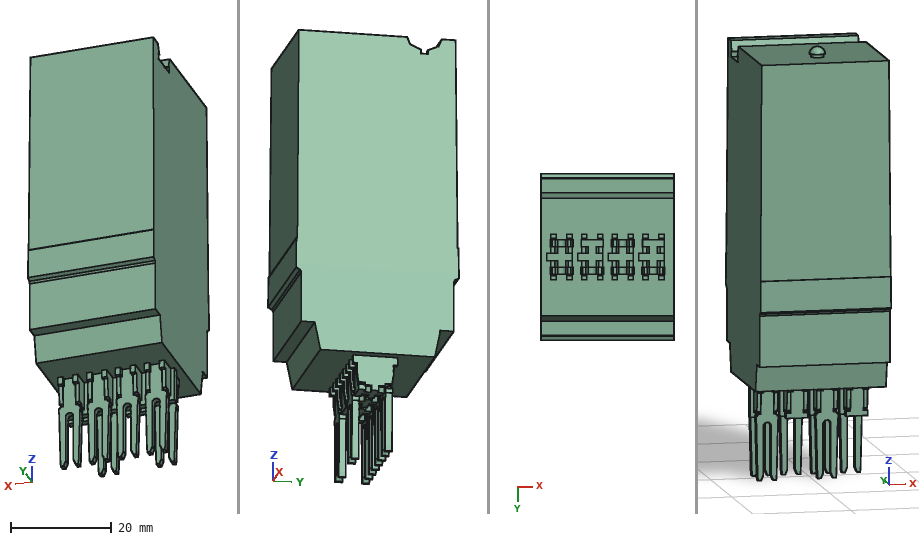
import cadquery as cq
import math

TOTAL_HEIGHT = 88.4
LID_Z = 86.4
BAND_Z = 42.7
SEAM_Z = 37.1
LIP_Z = 36.4
BASE_Z = 35.5
SHELF_Z = 25.2
SKIRT_Z = 19.5

LID_HALF_Y = 16.0
TAPER_HALF_Y = 16.35
STEP_HALF_Y = 16.5
BAND_HALF_Y = 16.6
LIP_HALF_Y = 15.8
BASE_HALF_Y = 15.6
SHELF_HALF_Y = 12.8
SKIRT_HALF_Y = 11.7
LID_HALF_X = 13.0
BODY_WIDTH_X = 26.6
BODY_HALF_X = BODY_WIDTH_X / 2
LIP_ROUND_Z = 36.0

GROOVE_CENTER_Y = 9.6
GROOVE_TOP_HALF = 3.5
GROOVE_TIP_HALF = 2.65
GROOVE_WALL_HALF = 3.1
GROOVE_TIP_Z = 84.25
GROOVE_FLOOR_Z = 83.1

STOP_LENGTH = 1.1
STOP_GAP_HALF = 0.7
STOP_TOP_Z = 84.95
STOP_EDGE_Z = 83.9

DOME_Y = -8.3
DOME_RADIUS = 1.6
DOME_STEM_RADIUS = 1.3
DOME_BASE_Z = 87.0

CONTACT_COUNT = 4
CONTACT_PITCH = 6.1
EMBED = 0.9

FORK_INNER_Y = 2.0
FORK_OUTER_Y = 3.45
FORK_HALF_TOP = 2.2
FORK_HALF_LOW = 1.95
SHOULDER_HALF = 2.3
SHOULDER_TOP_Z = 13.4
SHOULDER_LOW_Z = 12.0
SHOULDER_CHAMFER = 0.5
TIP_SHOULDER_Z = 1.1
TIP_HALF_OUTER = 1.9
TIP_HALF_INNER = 1.2
SLOT_HALF = 0.8
SLOT_TOP_Z = 11.8
NECK_HALF = 1.3

RIB_OUTER_X = 2.1
RIB_THICKNESS = 0.8
RIB_HALF_Y = 3.7
RIB_LOW_HALF_Y = 3.45
RIB_KINK_Z = 15.9
RIB_LOW_Z = 14.0
RIB_TONGUE_Z = 13.4
LUG_HALF_Y = 4.5
LUG_LOW_Z = 17.95
LUG_THICKNESS = 1.1

BAR_START_X = -2.9
BAR_HALF_Y = 0.7
BAR_LOW_Z = 12.4
BRIDGE_LOW_HALF = 0.8


def mirrored(points):
    """Close a right-hand outline, given top to bottom, with its mirror image about the vertical axis."""
    return points + [(-u, z) for u, z in reversed(points)]


def prism_along_x(points, x_start, x_end):
    """Extrude a (Y, Z) outline from x_start to x_end."""
    return cq.Workplane("YZ", origin=(x_start, 0, 0)).polyline(points).close().extrude(x_end - x_start)


def prism_along_y(points, y_start, y_end):
    """Extrude an (X, Z) outline from y_start to y_end."""
    return cq.Workplane("XZ", origin=(0, y_start, 0)).polyline(points).close().extrude(y_start - y_end)


def make_housing():
    """Tapered shell, base block and skirt: the side outline trimmed by the front outline."""
    side = mirrored([
        (LID_HALF_Y, LID_Z),
        (TAPER_HALF_Y, BAND_Z),
        (STEP_HALF_Y, BAND_Z),
        (BAND_HALF_Y, SEAM_Z),
        (BAND_HALF_Y, LIP_Z),
        (LIP_HALF_Y, LIP_ROUND_Z),
        (BASE_HALF_Y, BASE_Z),
        (BASE_HALF_Y, SHELF_Z),
        (SHELF_HALF_Y, SHELF_Z),
        (SKIRT_HALF_Y, SKIRT_Z),
    ])
    front = mirrored([
        (LID_HALF_X, LID_Z),
        (BODY_HALF_X, SEAM_Z),
        (BODY_HALF_X, SKIRT_Z),
    ])
    solid = prism_along_x(side, -BODY_HALF_X, BODY_HALF_X)
    return solid.intersect(prism_along_y(front, -BAND_HALF_Y, BAND_HALF_Y))


def make_groove():
    """Cutter for the groove, running the full width of the housing."""
    outline = mirrored([
        (GROOVE_TOP_HALF, LID_Z),
        (GROOVE_TIP_HALF, GROOVE_TIP_Z),
        (GROOVE_WALL_HALF, GROOVE_TIP_Z),
        (GROOVE_WALL_HALF, GROOVE_FLOOR_Z),
    ])
    return prism_along_x(outline, -BODY_HALF_X, BODY_HALF_X).translate((0, GROOVE_CENTER_Y, 0))


def make_stops():
    """Two wedges on the groove floor at the +X end, sloping down to the gap between them."""
    outline = [
        (GROOVE_WALL_HALF, GROOVE_FLOOR_Z),
        (GROOVE_WALL_HALF, STOP_TOP_Z),
        (STOP_GAP_HALF, STOP_EDGE_Z),
        (STOP_GAP_HALF, GROOVE_FLOOR_Z),
    ]
    stop = prism_along_x(outline, LID_HALF_X - STOP_LENGTH, BODY_HALF_X)
    return stop.union(stop.mirror("XZ")).translate((0, GROOVE_CENTER_Y, 0))


def make_dome():
    """Rounded indicator on a short stem, revolved about its vertical axis."""
    rise = TOTAL_HEIGHT - DOME_BASE_Z
    arc_radius = (DOME_RADIUS ** 2 + rise ** 2) / (2 * rise)
    half_sweep = math.asin(DOME_RADIUS / arc_radius) / 2
    arc_mid = (
        arc_radius * math.sin(half_sweep),
        TOTAL_HEIGHT - arc_radius * (1 - math.cos(half_sweep)),
    )
    return (
        cq.Workplane("XZ", origin=(0, DOME_Y, 0))
        .moveTo(0, LID_Z - EMBED)
        .lineTo(DOME_STEM_RADIUS, LID_Z - EMBED)
        .lineTo(DOME_STEM_RADIUS, DOME_BASE_Z)
        .lineTo(DOME_RADIUS, DOME_BASE_Z)
        .threePointArc(arc_mid, (0, TOTAL_HEIGHT))
        .close()
        .revolve(360, (0, 0, 0), (0, 1, 0))
    )


def make_fork():
    """Two-pronged blade on the +Y side, its neck running up into the skirt."""
    blade = mirrored([
        (NECK_HALF, SKIRT_Z + EMBED),
        (NECK_HALF, SHOULDER_TOP_Z),
        (SHOULDER_HALF - SHOULDER_CHAMFER, SHOULDER_TOP_Z),
        (SHOULDER_HALF, SHOULDER_TOP_Z - SHOULDER_CHAMFER),
        (SHOULDER_HALF, SHOULDER_LOW_Z),
        (FORK_HALF_TOP, SHOULDER_LOW_Z),
        (FORK_HALF_LOW, TIP_SHOULDER_Z),
        (TIP_HALF_OUTER, 0),
        (TIP_HALF_INNER, 0),
        (SLOT_HALF, TIP_SHOULDER_Z),
    ])
    slot_arc_z = SLOT_TOP_Z - SLOT_HALF
    slot = (
        cq.Workplane("XZ", origin=(0, FORK_OUTER_Y, 0))
        .moveTo(-SLOT_HALF, 0)
        .lineTo(-SLOT_HALF, slot_arc_z)
        .threePointArc((0, SLOT_TOP_Z), (SLOT_HALF, slot_arc_z))
        .lineTo(SLOT_HALF, 0)
        .close()
        .extrude(FORK_OUTER_Y - FORK_INNER_Y)
    )
    return prism_along_y(blade, FORK_INNER_Y, FORK_OUTER_Y).cut(slot)


def make_stub():
    """Neck of a fork on the +Y side that ends level with the bar and has no prongs."""
    outline = mirrored([
        (NECK_HALF, SKIRT_Z + EMBED),
        (NECK_HALF, SHOULDER_TOP_Z),
        (FORK_HALF_TOP, SHOULDER_TOP_Z),
        (FORK_HALF_TOP, BAR_LOW_Z),
    ])
    return prism_along_y(outline, FORK_INNER_Y, FORK_OUTER_Y)


def make_rib():
    """Side plate on the +X side of a contact, with a wider lug under the skirt."""
    plate = mirrored([
        (RIB_HALF_Y, SKIRT_Z + EMBED),
        (RIB_HALF_Y, RIB_KINK_Z),
        (RIB_LOW_HALF_Y, RIB_LOW_Z),
        (FORK_INNER_Y, RIB_LOW_Z),
        (FORK_INNER_Y, RIB_TONGUE_Z),
    ])
    lug = mirrored([
        (LUG_HALF_Y, SKIRT_Z + EMBED),
        (LUG_HALF_Y, LUG_LOW_Z),
    ])
    rib = prism_along_x(plate, RIB_OUTER_X - RIB_THICKNESS, RIB_OUTER_X)
    return rib.union(prism_along_x(lug, RIB_OUTER_X - LUG_THICKNESS, RIB_OUTER_X))


def make_contact(front_blade):
    """A +Y fork, a blade mirrored to the -Y side, two ribs, and the bar and bridge that join them."""
    bar = prism_along_y(
        [
            (BAR_START_X, SKIRT_Z + EMBED),
            (BAR_START_X, BAR_LOW_Z),
            (RIB_OUTER_X, BAR_LOW_Z),
            (RIB_OUTER_X, SKIRT_Z + EMBED),
        ],
        -BAR_HALF_Y,
        BAR_HALF_Y,
    )
    bridge = prism_along_y(
        mirrored([
            (NECK_HALF, SKIRT_Z + EMBED),
            (NECK_HALF, RIB_LOW_Z),
            (BRIDGE_LOW_HALF, BAR_LOW_Z),
        ]),
        -FORK_INNER_Y,
        FORK_INNER_Y,
    )
    rib = make_rib()
    contact = bar.union(bridge)
    for piece in (make_fork(), front_blade.mirror("XZ"), rib, rib.mirror("YZ")):
        contact = contact.union(piece)
    return contact


housing = make_housing()
trimmed_stops = make_stops().intersect(housing)
result = housing.cut(make_groove()).union(trimmed_stops).union(make_dome())

contact_kinds = (make_contact(make_fork()), make_contact(make_stub()))
first_x = -CONTACT_PITCH * (CONTACT_COUNT - 1) / 2
for index in range(CONTACT_COUNT):
    contact = contact_kinds[index % len(contact_kinds)]
    result = result.union(contact.translate((first_x + index * CONTACT_PITCH, 0, 0)))